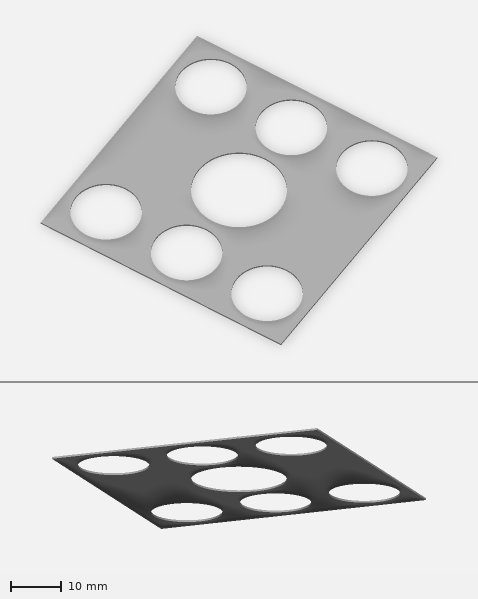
import cadquery as cq

plate_side = 56.9
plate_thickness = 0.38

centre_hole_diameter = 19.05
small_hole_diameter = 14.2
hole_pitch = 19.05
small_hole_centres = [
    (column * hole_pitch, row * hole_pitch)
    for row in (-1, 1)
    for column in (-1, 0, 1)
]

plate = cq.Workplane("XY").box(plate_side, plate_side, plate_thickness)

result = (
    plate.faces(">Z")
    .workplane()
    .hole(centre_hole_diameter)
    .faces(">Z")
    .workplane(origin=(0, 0, 0))
    .pushPoints(small_hole_centres)
    .hole(small_hole_diameter)
)